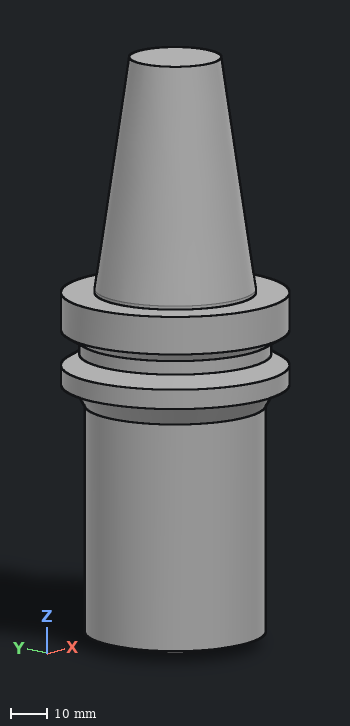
import cadquery as cq

taper_small_diameter = 25.5
taper_large_diameter = 44.5
flange_diameter = 63.0
groove_diameter = 53.0
neck_diameter = 56.5
body_diameter = 50.0
tip_diameter = 25.0

tip_height = 3.5
body_top = 67.3
flange_bottom = 73.1
lower_rim_top = 78.5
groove_bottom = 81.7
groove_top = 85.5
upper_rim_bottom = 88.5
flange_top = 99.0
gauge_line = 100.0
overall_height = 165.4

profile_corners = [
    (tip_diameter, 0),
    (body_diameter, tip_height),
    (body_diameter, body_top),
    (neck_diameter, flange_bottom),
    (flange_diameter, flange_bottom),
    (flange_diameter, lower_rim_top),
    (groove_diameter, groove_bottom),
    (groove_diameter, groove_top),
    (flange_diameter, upper_rim_bottom),
    (flange_diameter, flange_top),
    (taper_large_diameter, flange_top),
    (taper_large_diameter, gauge_line),
    (taper_small_diameter, overall_height),
]

half_section = [(0, 0)]
for diameter, height in profile_corners:
    half_section.append((diameter / 2, height))
half_section.append((0, overall_height))

tool_holder = (
    cq.Workplane("XZ")
    .polyline(half_section)
    .close()
    .revolve(360, (0, 0, 0), (0, 1, 0))
)

result = tool_holder